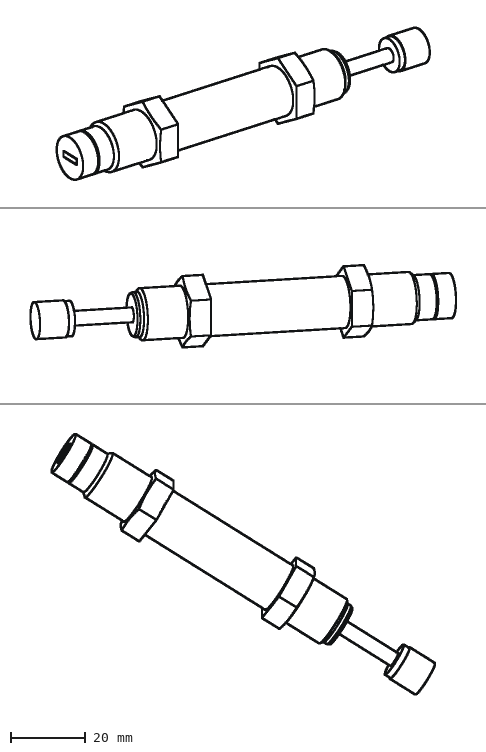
import cadquery as cq
import math

TOTAL_LENGTH = 115.0

BARREL_DIAMETER = 14.0
BARREL_START = 11.2
BARREL_END = 85.7
ADJUSTER_DIAMETER = 12.2
ADJUSTER_END = 10.1
GROOVE_DIAMETER = 9.3
GROOVE_START = 5.0
GROOVE_WIDTH = 0.5
COLLAR_DIAMETER = 12.2
COLLAR_START = 86.5
HOUSING_END = 88.2
COLLAR_CHAMFER_LENGTH = 0.7
COLLAR_CHAMFER_DEPTH = 0.3
SLOT_LENGTH = 6.0
SLOT_WIDTH = 1.7
SLOT_DEPTH = 0.1

ROD_DIAMETER = 4.0
ROD_INSERTION = 17.2
HEAD_DIAMETER = 10.0
HEAD_LENGTH = 8.0
HEAD_NECK_DIAMETER = 9.5
HEAD_NECK_LENGTH = 1.7

NUT_ACROSS_FLATS = 17.0
NUT_THICKNESS = 6.0
NUT_CHAMFER_DIAMETER = 16.8
NUT_CHAMFER_ANGLE = 15.0
REAR_NUT_FACE = 23.6
FRONT_NUT_FACE = 74.5


def cylinder(diameter, start, end):
    """Solid cylinder on the Y axis between two Y positions."""
    base = cq.Workplane("XZ", origin=(0, start, 0))
    return base.circle(diameter / 2).extrude(start - end)


def revolved(outline):
    """Solid of revolution about Y from (radius, Y) points."""
    profile = cq.Workplane("XY").polyline(outline).close()
    return profile.revolve(360, (0, 0, 0), (0, 1, 0))


def make_housing():
    barrel_radius = BARREL_DIAMETER / 2
    adjuster_radius = ADJUSTER_DIAMETER / 2
    groove_radius = GROOVE_DIAMETER / 2
    collar_radius = COLLAR_DIAMETER / 2
    groove_end = GROOVE_START + GROOVE_WIDTH
    housing = revolved([
        (0, 0),
        (adjuster_radius, 0),
        (adjuster_radius, GROOVE_START),
        (groove_radius, GROOVE_START),
        (groove_radius, groove_end),
        (adjuster_radius, groove_end),
        (adjuster_radius, ADJUSTER_END),
        (barrel_radius, BARREL_START),
        (barrel_radius, BARREL_END),
        (collar_radius, COLLAR_START),
        (collar_radius, HOUSING_END - COLLAR_CHAMFER_LENGTH),
        (collar_radius - COLLAR_CHAMFER_DEPTH, HOUSING_END),
        (0, HOUSING_END),
    ])
    slot = cq.Workplane("XZ").rect(SLOT_LENGTH, SLOT_WIDTH).extrude(-SLOT_DEPTH)
    rod_bore = cylinder(ROD_DIAMETER, HOUSING_END - ROD_INSERTION, HOUSING_END)
    return housing.cut(slot).cut(rod_bore)


def make_piston():
    head_start = TOTAL_LENGTH - HEAD_LENGTH
    neck_start = head_start - HEAD_NECK_LENGTH
    rod = cylinder(ROD_DIAMETER, HOUSING_END - ROD_INSERTION, neck_start)
    neck = cylinder(HEAD_NECK_DIAMETER, neck_start, head_start)
    head = cylinder(HEAD_DIAMETER, head_start, TOTAL_LENGTH)
    return rod.union(neck).union(head)


def make_nut(chamfered_face, inward):
    """Lock nut reaching from its chamfered face in the Y direction inward (+1 or -1)."""
    corner_radius = NUT_ACROSS_FLATS / math.sqrt(3)
    chamfer_radius = NUT_CHAMFER_DIAMETER / 2
    chamfer_depth = (corner_radius - chamfer_radius) * math.tan(math.radians(NUT_CHAMFER_ANGLE))
    plain_face = chamfered_face + inward * NUT_THICKNESS
    hexagon = (
        cq.Workplane("XZ", origin=(0, chamfered_face, 0))
        .polygon(6, 2 * corner_radius)
        .extrude(-inward * NUT_THICKNESS)
        .rotate((0, 0, 0), (0, 1, 0), 90)
    )
    chamfer_envelope = revolved([
        (0, chamfered_face),
        (chamfer_radius, chamfered_face),
        (corner_radius, chamfered_face + inward * chamfer_depth),
        (corner_radius, plain_face),
        (0, plain_face),
    ])
    bore = cylinder(BARREL_DIAMETER, chamfered_face, plain_face)
    return hexagon.intersect(chamfer_envelope).cut(bore)


housing = make_housing()
piston = make_piston()
nuts = [
    make_nut(chamfered_face, inward).val()
    for chamfered_face, inward in [(REAR_NUT_FACE, 1), (FRONT_NUT_FACE, -1)]
]

result = cq.Compound.makeCompound([housing.val(), piston.val(), *nuts])